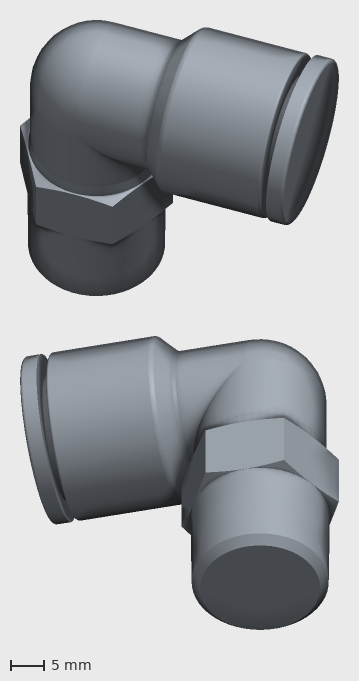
import cadquery as cq
import math


body_radius = 10.0
socket_radius = 12.8
elbow_height = 38.5

thread_end_chamfer = 1.3
thread_bottom_radius = 10.3
thread_top_radius = 10.45
hex_bottom = 15.0
hex_height = 10.0
hex_top = hex_bottom + hex_height
hex_across_flats = 21.0
hex_corner_radius = hex_across_flats / math.sqrt(3)
hex_bevel_drop = 0.55
flare_height = 2.05
flare_radius = 10.25

shoulder_start = 11.1
shoulder_end = shoulder_start + socket_radius - body_radius
shoulder_inner_fillet = 0.75
shoulder_outer_fillet = 1.05
socket_end = 30.1
socket_edge_fillet = 0.35

neck_radius = 9.5
flange_start = 31.4
flange_end = 34.0
flange_width = 27.0
flange_height = 24.2
flange_edge_fillet = 0.5


def socket_plane(x):
    """Plane across the socket axis at the given X, facing +X; local x is Y and local y is Z."""
    return cq.Workplane("YZ", origin=(x, 0, elbow_height))


def make_thread():
    """Slightly tapered thread blank with a 45 degree lead-in chamfer."""
    outline = [
        (0, 0),
        (thread_bottom_radius - thread_end_chamfer, 0),
        (thread_bottom_radius, thread_end_chamfer),
        (thread_top_radius, hex_bottom),
        (0, hex_bottom),
    ]
    return cq.Workplane("XZ").polyline(outline).close().revolve(360, (0, 0), (0, 1))


def make_hex():
    """Hexagon with corners on the X axis, its corners bevelled at both ends."""
    prism = (
        cq.Workplane("XY", origin=(0, 0, hex_bottom))
        .polygon(6, 2 * hex_corner_radius)
        .extrude(hex_height)
    )
    flat_radius = hex_across_flats / 2
    bevel_outline = [
        (0, hex_bottom),
        (flat_radius, hex_bottom),
        (hex_corner_radius, hex_bottom + hex_bevel_drop),
        (hex_corner_radius, hex_top - hex_bevel_drop),
        (flat_radius, hex_top),
        (0, hex_top),
    ]
    bevel = cq.Workplane("XZ").polyline(bevel_outline).close().revolve(360, (0, 0), (0, 1))
    return prism.intersect(bevel)


def make_upright():
    """Upright tube, flared where it meets the hexagon and closed by a dome."""
    dome_rise = body_radius * math.sin(math.radians(45))
    return (
        cq.Workplane("XZ")
        .moveTo(0, hex_top)
        .lineTo(flare_radius, hex_top)
        .lineTo(body_radius, hex_top + flare_height)
        .lineTo(body_radius, elbow_height)
        .threePointArc((dome_rise, elbow_height + dome_rise), (0, elbow_height + body_radius))
        .close()
        .revolve(360, (0, 0), (0, 1))
    )


def make_socket():
    """Horizontal tube widening over a rounded 45 degree shoulder into the socket."""
    outline = [
        (0, 0),
        (0, body_radius),
        (shoulder_start, body_radius),
        (shoulder_end, socket_radius),
        (socket_end, socket_radius),
        (socket_end, 0),
    ]
    socket = (
        cq.Workplane("XZ", origin=(0, 0, elbow_height))
        .polyline(outline)
        .close()
        .revolve(360, (0, 0), (1, 0))
    )

    for x, radius in ((shoulder_start, shoulder_inner_fillet), (shoulder_end, shoulder_outer_fillet)):
        rim = cq.selectors.NearestToPointSelector((x, 0, elbow_height))
        socket = socket.edges(rim).fillet(radius)
    return socket.faces(">X").edges().fillet(socket_edge_fillet)


def make_release_ring():
    """Round neck with an oval flange, wider along Y than along Z."""
    neck = socket_plane(socket_end).circle(neck_radius).extrude(flange_start - socket_end)
    flange = (
        socket_plane(flange_start)
        .ellipse(flange_width / 2, flange_height / 2)
        .extrude(flange_end - flange_start)
        .faces(">X")
        .edges()
        .fillet(flange_edge_fillet)
    )
    return neck.union(flange)


result = (
    make_thread()
    .union(make_hex())
    .union(make_upright())
    .union(make_socket())
    .union(make_release_ring())
)